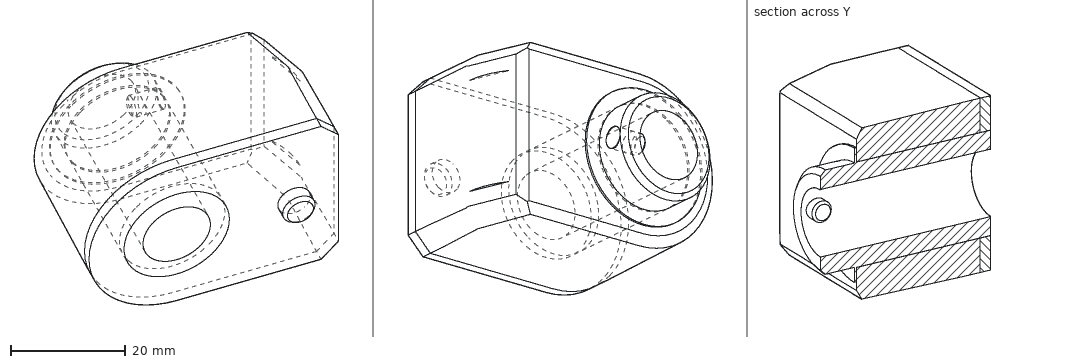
import cadquery as cq
import math


BODY_LENGTH = 47.0
BODY_RADIUS = 16.515
TOP_Y = BODY_LENGTH - BODY_RADIUS
CORNER = 3.3

BASE_THICKNESS = 2.1
DRAFT_START_X = -5.6
FRONT_X = -27.7

FRONT_CHAMFER = 1.15
FRONT_CHAMFER_INSET = 1.95
DRAFT_ANGLE = 0.8
SLANT_START_X = -16.45
SLANT_ANGLE = 18.6
SLANT_EDGE_X = FRONT_X + FRONT_CHAMFER
FRONT_EDGE_Y = 25.15

WINDOW_RADIUS = 27.45 / 2
WINDOW_WIDTH = 20.95
WINDOW_CHORD = 8.18
WINDOW_CENTRE_X = -21.2

HUB_RADIUS = 19.85 / 2
BORE_RADIUS = 12.7 / 2
HUB_FRONT_X = -35.1
HUB_CHAMFER = 1.05
FLANGE_RADIUS = 25.4 / 2
FLANGE_THICKNESS = 0.4

SCREW_RADIUS = 4.0 / 2
SCREW_X = HUB_FRONT_X + 3.05
SCREW_TIP_Y = 4.0
SCREW_CHAMFER = 0.45

PIN_RADIUS = 6.1 / 2
PIN_LENGTH = 3.0
PIN_Y = 22.1
PIN_CHAMFER_LENGTH = 0.75
PIN_CHAMFER_INSET = 0.6

OVERSIZE = 2 * BODY_LENGTH


def forward_plane(x):
    """Workplane at x facing -X; its first axis is -Y and its second is Z."""
    return cq.Workplane(cq.Plane(origin=(x, 0, 0), xDir=(0, -1, 0), normal=(-1, 0, 0)))


def rounded_outline(x, inset=0.0):
    """Flat-ended outline with one round end, moved inward by inset."""
    radius = BODY_RADIUS - inset
    end = inset - TOP_Y
    return (
        forward_plane(x)
        .moveTo(end, -radius)
        .lineTo(0, -radius)
        .threePointArc((radius, 0), (0, radius))
        .lineTo(end, radius)
        .close()
    )


def corner_prism(front_x, length):
    """Straight bar along X that trims the two corners of the flat end."""
    return (
        forward_plane(front_x)
        .moveTo(-TOP_Y, CORNER - BODY_RADIUS)
        .lineTo(CORNER - TOP_Y, -BODY_RADIUS)
        .lineTo(OVERSIZE, -BODY_RADIUS)
        .lineTo(OVERSIZE, BODY_RADIUS)
        .lineTo(CORNER - TOP_Y, BODY_RADIUS)
        .lineTo(-TOP_Y, BODY_RADIUS - CORNER)
        .close()
        .extrude(length)
    )


def x_cylinder(radius, start_x, end_x, y=0.0):
    """Cylinder along X between two positions."""
    return cq.Workplane("YZ", origin=(start_x, y, 0)).circle(radius).extrude(end_x - start_x)


def slant_y(x):
    """Y of the sloping display face at x."""
    return TOP_Y + (x - SLANT_START_X) * math.tan(math.radians(SLANT_ANGLE))


def make_window():
    """Shallow cylindrical bulge whose chord lies on the sloping face."""
    half_chord = WINDOW_CHORD / 2
    rise = WINDOW_RADIUS - math.sqrt(WINDOW_RADIUS**2 - half_chord**2)
    return (
        cq.Workplane("XY")
        .moveTo(-half_chord, 0)
        .threePointArc((0, rise), (half_chord, 0))
        .lineTo(half_chord, -rise)
        .lineTo(-half_chord, -rise)
        .close()
        .extrude(WINDOW_WIDTH / 2, both=True)
        .rotate((0, 0, 0), (0, 0, 1), SLANT_ANGLE)
        .translate((WINDOW_CENTRE_X, slant_y(WINDOW_CENTRE_X), 0))
    )


def make_housing():
    draft_length = DRAFT_START_X - SLANT_EDGE_X
    draft_inset = draft_length * math.tan(math.radians(DRAFT_ANGLE))
    chamfer_angle = math.degrees(math.atan2(FRONT_CHAMFER_INSET, FRONT_CHAMFER))
    band = rounded_outline(-BASE_THICKNESS).extrude(-BASE_THICKNESS - DRAFT_START_X)
    drafted = rounded_outline(DRAFT_START_X).extrude(draft_length, taper=DRAFT_ANGLE)
    front = rounded_outline(SLANT_EDGE_X, draft_inset).extrude(FRONT_CHAMFER, taper=chamfer_angle)
    body = band.union(drafted).union(front)

    edge_trim = (
        cq.Workplane("XY")
        .moveTo(FRONT_X, FRONT_EDGE_Y)
        .lineTo(SLANT_EDGE_X, slant_y(SLANT_EDGE_X))
        .lineTo(SLANT_EDGE_X, OVERSIZE)
        .lineTo(FRONT_X, OVERSIZE)
        .close()
        .extrude(OVERSIZE, both=True)
    )
    body = body.cut(edge_trim)

    straight_trim = corner_prism(OVERSIZE, 2 * OVERSIZE)
    slanted_trim = straight_trim.rotate(
        (SLANT_START_X, TOP_Y, 0), (SLANT_START_X, TOP_Y, 1), SLANT_ANGLE
    )
    body = body.intersect(straight_trim).intersect(slanted_trim)

    return body.union(make_window()).cut(x_cylinder(HUB_RADIUS, FRONT_X, 0))


def make_base():
    plate = rounded_outline(0).extrude(BASE_THICKNESS)
    plate = plate.intersect(corner_prism(0, BASE_THICKNESS))
    plate = plate.cut(x_cylinder(HUB_RADIUS, -BASE_THICKNESS, 0))
    pin = x_cylinder(PIN_RADIUS, -BASE_THICKNESS, PIN_LENGTH - PIN_CHAMFER_LENGTH, PIN_Y)
    tip_angle = math.degrees(math.atan2(PIN_CHAMFER_INSET, PIN_CHAMFER_LENGTH))
    tip = pin.faces(">X").wires().toPending().extrude(
        PIN_CHAMFER_LENGTH, taper=tip_angle, combine=False
    )
    return plate.union(pin).union(tip)


def make_screw():
    """Radial set screw, from the hub's outside into its bore."""
    return (
        cq.Workplane("XZ", origin=(SCREW_X, HUB_RADIUS, 0))
        .circle(SCREW_RADIUS)
        .extrude(HUB_RADIUS - SCREW_TIP_Y)
        .faces("<Y")
        .chamfer(SCREW_CHAMFER)
    )


def make_hub():
    sleeve = x_cylinder(HUB_RADIUS, HUB_FRONT_X, 0).faces("<X").chamfer(HUB_CHAMFER)
    flange = x_cylinder(FLANGE_RADIUS, FRONT_X - FLANGE_THICKNESS, FRONT_X)
    bore = x_cylinder(BORE_RADIUS, HUB_FRONT_X, 0)
    screw_hole = (
        cq.Workplane("XZ", origin=(SCREW_X, HUB_RADIUS, 0)).circle(SCREW_RADIUS).extrude(HUB_RADIUS)
    )
    return sleeve.union(flange).cut(bore).cut(screw_hole)


housing = make_housing()
base = make_base()
hub = make_hub()
screw = make_screw()

result = cq.Compound.makeCompound([housing.val(), base.val(), hub.val(), screw.val()])